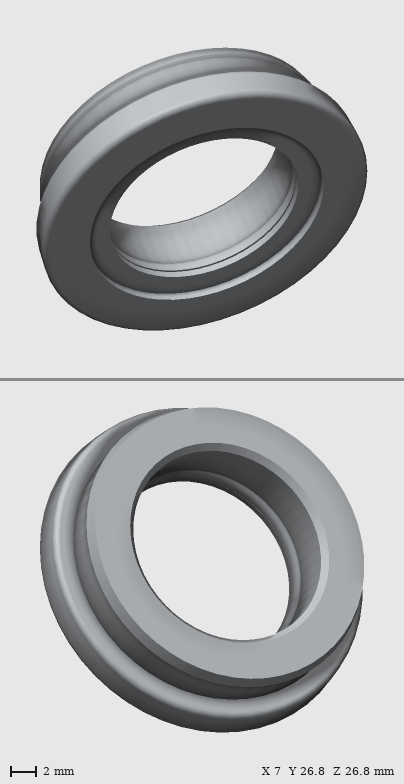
import cadquery as cq
import math

total_length = 7.0

nose_radius = 11.5
barb_radius = 11.82
barb_start = 0.96
barb_end = 1.2
neck_radius = 11.63

flange_start = 4.02
flange_radius_start = 13.19
flange_radius_end = 13.45
flange_front_fillet = 0.48
flange_back_fillet = 0.54

mouth_radius = 8.5
mouth_depth = 0.5
bore_radius = 8.0
bead_start = 4.58
bead_end = 5.28
throat_radius = 7.72
throat_end = 5.65

ring_gap = 0.1
ring_start = throat_end + ring_gap
ring_end = 6.32
ring_inner_radius = 7.77
seat_radius = 9.65


def revolve_about_x(profile):
    """Turn a half profile of (axial position, radius) into a solid of revolution."""
    return profile.close().revolve(360, (0, 0, 0), (1, 0, 0))


def bead_middle():
    """Point halfway along the bead's arc, which runs out level with the throat."""
    bead_length = bead_end - bead_start
    bead_height = bore_radius - throat_radius
    arc_radius = (bead_length**2 + bead_height**2) / (2 * bead_height)
    half_angle = math.asin(bead_length / arc_radius) / 2
    return (
        bead_end - arc_radius * math.sin(half_angle),
        throat_radius + arc_radius * (1 - math.cos(half_angle)),
    )


def make_housing():
    """Flanged snap sleeve with a rounded bore bead and a ring seat at the back."""
    outer = revolve_about_x(
        cq.Workplane("XY")
        .moveTo(0, 0)
        .lineTo(0, nose_radius)
        .lineTo(barb_start, barb_radius)
        .lineTo(barb_end, neck_radius)
        .lineTo(flange_start, neck_radius)
        .lineTo(flange_start, 0)
    )
    flange = revolve_about_x(
        cq.Workplane("XY")
        .moveTo(flange_start, 0)
        .lineTo(flange_start, flange_radius_start)
        .lineTo(total_length, flange_radius_end)
        .lineTo(total_length, 0)
    )
    flange = flange.faces("<X").edges().fillet(flange_front_fillet)
    flange = flange.faces(">X").edges().fillet(flange_back_fillet)

    bore = revolve_about_x(
        cq.Workplane("XY")
        .moveTo(0, 0)
        .lineTo(0, mouth_radius)
        .lineTo(mouth_depth, bore_radius)
        .lineTo(bead_start, bore_radius)
        .threePointArc(bead_middle(), (bead_end, throat_radius))
        .lineTo(throat_end, throat_radius)
        .lineTo(throat_end, seat_radius)
        .lineTo(total_length, seat_radius)
        .lineTo(total_length, 0)
    )
    return outer.union(flange).cut(bore)


def make_ring():
    """Plain ring held in the seat, recessed from the back face of the flange."""
    return revolve_about_x(
        cq.Workplane("XY")
        .moveTo(ring_start, ring_inner_radius)
        .lineTo(ring_start, seat_radius)
        .lineTo(ring_end, seat_radius)
        .lineTo(ring_end, ring_inner_radius)
    )


housing = make_housing()
ring = make_ring()
result = cq.Compound.makeCompound([housing.val(), ring.val()])